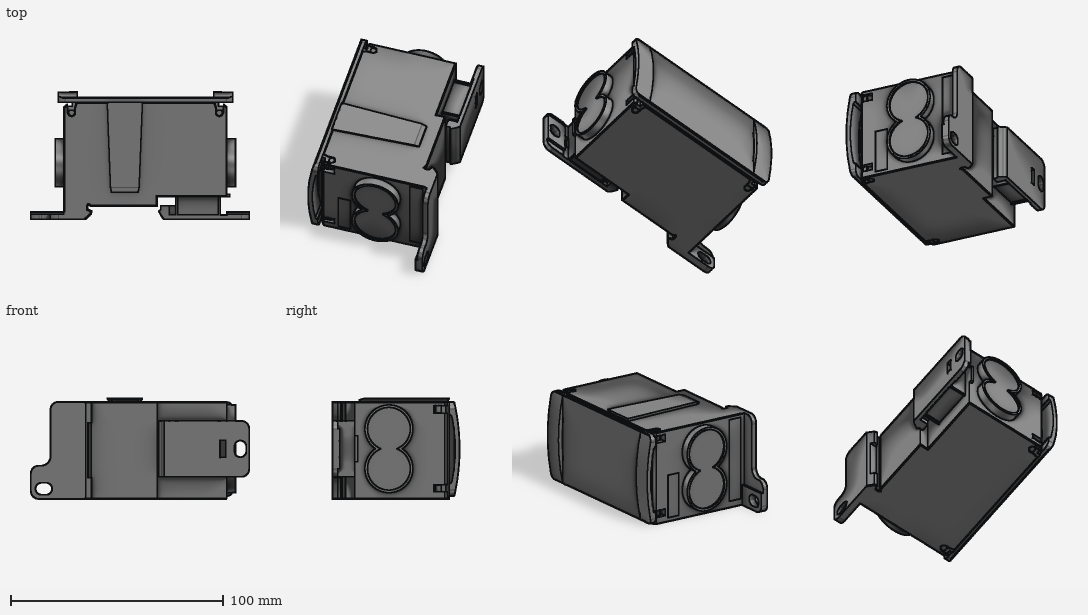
import cadquery as cq
import math

LENGTH = 103.0
HEIGHT = 45.8
EDGE = 0.4

WALL_X = 15.7
MID_X = 54.1
WALL_RIGHT_X = 2 * MID_X - WALL_X
LID_BASE_Y = 55.1
RAIL_Y = 6.2
RAIL_RIGHT_X = 59.6
HOOK_GAP_X = 27.0
HOOK_GAP_Z0 = 10.1
HOOK_GAP_Z1 = 35.8
CLIP_SEAT_Y = 10.6
SHOULDER_Y = 52.9
SHOULDER_WIDTH = 1.5
SHOULDER_TOP_Y = 54.2

FOOT_T = 2.5
PAD_T = 3.5
FOOT_EDGE_X = 9.3
FOOT_JOIN_X = 25.5
EAR_TOP_Z = 15.8
PAD_TOP_Z = 10.2
PLATE_R = 3.8
EAR_INNER_R = 4.3
SLOT_LENGTH = 7.7
SLOT_WIDTH = 5.6
EAR_SLOT_X = 6.2
EAR_SLOT_Z = 4.8

CLIP_X = 62.9
CLIP_T = 2.1
CLIP_Z0 = 10.4
CLIP_Z1 = 36.9
CLIP_MID_Z = (CLIP_Z0 + CLIP_Z1) / 2
CLIP_SLOT_X = 98.8
JAW_X = 61.2
JAW_END_X = 65.3
JAW_TOP_Y = 6.5
JAW_BRIDGE_INSET = 3.1
BLOCK_X0 = 68.3
BLOCK_X1 = 89.4
BLOCK_RIB = 0.9
BLOCK_INSET = 0.8
WINDOW_X0 = 89.1
WINDOW_X1 = 91.9
WINDOW_HEIGHT = 8.0
BEAD_SIZE = 1.3
BEAD_LENGTH = 12.4

KNOCKOUT_Y = 26.7
KNOCKOUT_Z = (14.3, 33.1)
KNOCKOUT_R = 11.3
KNOCKOUT_PANEL_R = 10.1
KNOCKOUT_PROUD = 4.1
KNOCKOUT_RECESS = 0.7

LABELS = (((40.0, 46.0), (2.1, 23.3)), ((4.4, 10.9), (3.4, 44.0)))
LABEL_DEPTH = 0.2

LID_X = 12.9
LID_Z0 = 1.3
LID_Z1 = 45.7
LID_MID_Z = (LID_Z0 + LID_Z1) / 2
LID_SIDE_Y = 57.0
LID_FLAT_Y = 57.6
LID_CROWN_Y = 60.0
LID_CORNER_R = 3.1
BRIDGE_WIDTH = 9.1
ARCH_HALF = 16.4
ARCH_SIDE_Y = 56.3
ARCH_CROWN_Y = 57.9
ARCH_R = 0.9

PIN_X = 19.3
PIN_Y = 50.3
PIN_R = 1.4
PIN_GAP = 0.3
PIN_INSET = 0.2
ARM_X0 = 17.5
ARM_X1 = 20.7
ARM_TOP_X0 = 19.6
ARM_TOP_X1 = 21.5
ARM_STEP_Y = 53.4
ARM_BEND_Y = 52.5
ARM_END_Y = 51.4
HINGE_Z = ((0, 6.8), (40.5, HEIGHT))
NOTCH_Z = ((3.5, 6.8), (40.5, 44.0))
NOTCH_Y = 47.8

TONGUE_TOP_Z = 47.5
TONGUE_X0 = 36.0
TONGUE_X1 = 52.6
TONGUE_NARROWING = 1.6
TONGUE_TIP_Y = 12.4
TONGUE_RAMP_Y = 15.2
TONGUE_RAMP_DROP = 0.8
TONGUE_UNDERCUT = 0.8


def box(x0, x1, y0, y1, z0, z1):
    return cq.Workplane("XY").box(x1 - x0, y1 - y0, z1 - z0, centered=False).translate((x0, y0, z0))


def prism(points, z0, z1):
    """Extrude an XY outline between two heights."""
    return cq.Workplane("XY", origin=(0, 0, z0)).polyline(points).close().extrude(z1 - z0)


def post(x, y, radius, z0, z1):
    return cq.Workplane("XY", origin=(x, y, z0)).circle(radius).extrude(z1 - z0)


def mirrored(shape):
    """The same shape at the other end of the housing."""
    return shape.mirror("YZ", (MID_X, 0, 0))


def both_ends(shape):
    return shape.union(mirrored(shape))


def y_slot(x, z, length, width, angle):
    """Screw slot running along Y through either foot."""
    slot = cq.Workplane("XZ", origin=(x, 0, z)).slot2D(length, width, angle)
    return slot.extrude(PAD_T, both=True)


def make_housing():
    outline = [
        (WALL_X, 0), (25.9, 0), (28.4, 2.5), (28.8, 3.9),
        (26.9, 4.7), (26.9, 6.4), (27.2, 6.9), (28.4, RAIL_Y),
        (RAIL_RIGHT_X, RAIL_Y), (RAIL_RIGHT_X, CLIP_SEAT_Y), (WALL_RIGHT_X, CLIP_SEAT_Y),
        (WALL_RIGHT_X, SHOULDER_Y), (WALL_RIGHT_X - SHOULDER_WIDTH, SHOULDER_TOP_Y),
        (WALL_RIGHT_X - SHOULDER_WIDTH, LID_BASE_Y), (WALL_X + SHOULDER_WIDTH, LID_BASE_Y),
        (WALL_X + SHOULDER_WIDTH, SHOULDER_TOP_Y), (WALL_X, SHOULDER_Y),
    ]
    housing = prism(outline, 0, HEIGHT).faces("<Z or >Z").chamfer(EDGE)
    return housing.cut(box(HOOK_GAP_X, RAIL_RIGHT_X, 0, RAIL_Y, HOOK_GAP_Z0, HOOK_GAP_Z1))


def make_foot():
    outline = [
        (0, 0), (FOOT_JOIN_X, 0), (FOOT_JOIN_X, HEIGHT), (FOOT_EDGE_X, HEIGHT),
        (FOOT_EDGE_X, EAR_TOP_Z), (0, EAR_TOP_Z),
    ]
    plate = cq.Workplane("XZ").polyline(outline).close().extrude(-PAD_T)
    plate = plate.edges("|Y and <X").fillet(PLATE_R)
    for z, radius in ((HEIGHT, PLATE_R), (EAR_TOP_Z, EAR_INNER_R)):
        corner = cq.selectors.NearestToPointSelector((FOOT_EDGE_X, PAD_T / 2, z))
        plate = plate.edges("|Y").edges(corner).fillet(radius)
    plate = plate.cut(box(0, WALL_X, FOOT_T, PAD_T, PAD_TOP_Z, HEIGHT))
    return plate.cut(y_slot(EAR_SLOT_X, EAR_SLOT_Z, SLOT_LENGTH, SLOT_WIDTH, 0))


def make_clip():
    plate = box(CLIP_X, LENGTH, 0, FOOT_T, CLIP_Z0, CLIP_Z1).edges("|Y and >X").fillet(PLATE_R)
    plate = plate.cut(box(CLIP_X, WALL_RIGHT_X, CLIP_T, FOOT_T, CLIP_Z0, CLIP_Z1))
    pad = box(WALL_RIGHT_X, LENGTH, 0, PAD_T, CLIP_Z0 + PLATE_R, CLIP_Z1 - PLATE_R)
    plate = plate.union(pad)
    plate = plate.cut(y_slot(CLIP_SLOT_X, CLIP_MID_Z, SLOT_LENGTH, SLOT_WIDTH, 90))
    half_window = WINDOW_HEIGHT / 2
    plate = plate.cut(
        box(WINDOW_X0, WINDOW_X1, 0, CLIP_T, CLIP_MID_Z - half_window, CLIP_MID_Z + half_window)
    )
    jaw_outline = [
        (CLIP_X, 0), (62.3, 0.5), (61.5, 1.8), (60.3, 3.8), (JAW_X, 4.4),
        (JAW_X, JAW_TOP_Y), (JAW_END_X, JAW_TOP_Y), (JAW_END_X, 0),
    ]
    jaw = prism(jaw_outline, CLIP_Z0, CLIP_Z1)
    bridge = box(
        JAW_END_X, BLOCK_X0, CLIP_T, JAW_TOP_Y, CLIP_Z0 + JAW_BRIDGE_INSET, CLIP_Z1 - JAW_BRIDGE_INSET
    )
    block = box(
        BLOCK_X0, BLOCK_X1, CLIP_T, CLIP_SEAT_Y, CLIP_Z0 + BLOCK_INSET, CLIP_Z1 - BLOCK_INSET
    )
    clip = plate.union(jaw).union(bridge).union(block)
    for rib_x in (BLOCK_X0, BLOCK_X1 - BLOCK_RIB):
        clip = clip.union(box(rib_x, rib_x + BLOCK_RIB, CLIP_T, CLIP_SEAT_Y, CLIP_Z0, CLIP_Z1))
    return clip


def make_bead():
    """Small stop on the +X end wall, just above the clip."""
    return box(
        WALL_RIGHT_X, WALL_RIGHT_X + BEAD_SIZE, CLIP_SEAT_Y, CLIP_SEAT_Y + BEAD_SIZE,
        CLIP_MID_Z - BEAD_LENGTH / 2, CLIP_MID_Z + BEAD_LENGTH / 2,
    )


def twin_discs(radius, x0, depth):
    plane = cq.Workplane("YZ", origin=(x0, 0, 0))
    lower, upper = [plane.center(KNOCKOUT_Y, z).circle(radius).extrude(depth) for z in KNOCKOUT_Z]
    return lower.union(upper)


def make_knockouts():
    outer_x = WALL_X - KNOCKOUT_PROUD
    knockout = twin_discs(KNOCKOUT_R, outer_x, KNOCKOUT_PROUD)
    return both_ends(knockout.cut(twin_discs(KNOCKOUT_PANEL_R, outer_x, KNOCKOUT_RECESS)))


def make_labels():
    labels = cq.Workplane("XY")
    for (y0, y1), (z0, z1) in LABELS:
        labels = labels.union(box(WALL_X, WALL_X + LABEL_DEPTH, y0, y1, z0, z1))
    return labels


def make_lid():
    length = 2 * (MID_X - LID_X)
    lip = LID_FLAT_Y - LID_SIDE_Y
    section = cq.Workplane("YZ", origin=(LID_X, 0, 0))
    lid = (
        section.moveTo(LID_BASE_Y, LID_Z0).lineTo(LID_SIDE_Y, LID_Z0)
        .lineTo(LID_FLAT_Y, LID_Z0 + lip / 2)
        .threePointArc((LID_CROWN_Y, LID_MID_Z), (LID_FLAT_Y, LID_Z1 - lip / 2))
        .lineTo(LID_SIDE_Y, LID_Z1).lineTo(LID_BASE_Y, LID_Z1).close().extrude(length)
    )
    lid = lid.cut(
        box(LID_X + BRIDGE_WIDTH, LID_X + length - BRIDGE_WIDTH, LID_FLAT_Y, LID_CROWN_Y, LID_Z0, LID_Z1)
    )
    arch = (
        section.moveTo(LID_BASE_Y, LID_MID_Z - ARCH_HALF)
        .lineTo(ARCH_SIDE_Y - ARCH_R, LID_MID_Z - ARCH_HALF)
        .lineTo(ARCH_SIDE_Y, LID_MID_Z - ARCH_HALF + ARCH_R)
        .threePointArc((ARCH_CROWN_Y, LID_MID_Z), (ARCH_SIDE_Y, LID_MID_Z + ARCH_HALF - ARCH_R))
        .lineTo(ARCH_SIDE_Y - ARCH_R, LID_MID_Z + ARCH_HALF)
        .lineTo(LID_BASE_Y, LID_MID_Z + ARCH_HALF).close().extrude(BRIDGE_WIDTH)
    )
    rounded = box(LID_X, LID_X + length, LID_BASE_Y, LID_CROWN_Y, LID_Z0, LID_Z1)
    rounded = rounded.edges("|Y").fillet(LID_CORNER_R)
    return lid.intersect(rounded).cut(both_ends(arch))


def make_hinge_sockets():
    """Grooves for the hinge arms, pin bores and the notches that open them to the end wall."""
    socket = box(ARM_X0 - PIN_GAP, ARM_TOP_X0, ARM_STEP_Y, LID_BASE_Y, 0, HEIGHT)
    neck = [
        (ARM_X0 - PIN_GAP, PIN_Y), (ARM_X1 + PIN_GAP, PIN_Y), (ARM_X1 + PIN_GAP, ARM_BEND_Y),
        (ARM_TOP_X1 + PIN_GAP, LID_BASE_Y), (ARM_X0 - PIN_GAP, LID_BASE_Y),
    ]
    for z0, z1 in HINGE_Z:
        socket = socket.union(post(PIN_X, PIN_Y, PIN_R + PIN_GAP, z0, z1)).union(prism(neck, z0, z1))
    for z0, z1 in NOTCH_Z:
        socket = socket.union(box(WALL_X, PIN_X, NOTCH_Y, LID_BASE_Y, z0, z1))
    return both_ends(socket)


def make_hinges():
    arm = [
        (ARM_TOP_X0, LID_BASE_Y), (ARM_TOP_X0, ARM_STEP_Y), (ARM_X0, ARM_STEP_Y), (ARM_X0, ARM_END_Y),
        (ARM_X1, ARM_END_Y), (ARM_X1, ARM_BEND_Y), (ARM_TOP_X1, LID_BASE_Y),
    ]
    hinges = cq.Workplane("XY")
    for z0, z1 in HINGE_Z:
        pin = post(PIN_X, PIN_Y, PIN_R, z0 + PIN_INSET, z1 - PIN_INSET)
        hinges = hinges.union(prism(arm, z0, z1)).union(pin)
    return both_ends(hinges)


def make_tongue():
    thickness = TONGUE_TOP_Z - HEIGHT
    flare = math.degrees(math.atan(TONGUE_UNDERCUT / thickness))
    outline = [
        (TONGUE_X0, LID_BASE_Y), (TONGUE_X1, LID_BASE_Y),
        (TONGUE_X1 - TONGUE_NARROWING, TONGUE_TIP_Y), (TONGUE_X0 + TONGUE_NARROWING, TONGUE_TIP_Y),
    ]
    top = cq.Workplane("XY", origin=(0, 0, TONGUE_TOP_Z))
    tongue = top.polyline(outline).close().extrude(-thickness, taper=flare)
    ramp = [
        (TONGUE_RAMP_Y, TONGUE_TOP_Z), (TONGUE_TIP_Y, TONGUE_TOP_Z),
        (TONGUE_TIP_Y, TONGUE_TOP_Z - TONGUE_RAMP_DROP),
    ]
    wedge = cq.Workplane("YZ", origin=(TONGUE_X0, 0, 0)).polyline(ramp).close()
    return tongue.cut(wedge.extrude(TONGUE_X1 - TONGUE_X0))


housing = make_housing().cut(make_labels()).cut(make_hinge_sockets())
result = housing
for feature in (
    make_foot(), make_clip(), make_bead(), make_knockouts(), make_lid(), make_hinges(), make_tongue(),
):
    result = result.union(feature)